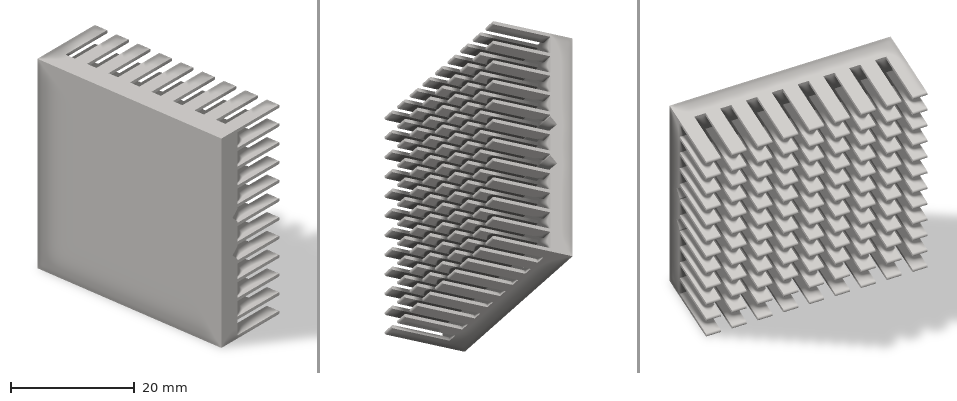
import cadquery as cq
width = 39.25
height = 39.25
depth = 14.5
base_thickness = 4.0
fin_length = depth - base_thickness

fin_count = 12
tip_radius = 0.3
fin_thickness = 2 * tip_radius
fin_pitch = (height - fin_thickness) / (fin_count - 1)

cross_cut_count = 8
cross_cut_width = 2.0
finger_width = (width - cross_cut_count * cross_cut_width) / (cross_cut_count + 1)
cross_cut_pitch = finger_width + cross_cut_width

groove_channels = (4, 6)
groove_depth = 1.2
groove_half_width = groove_depth


def fin_bottom(index):
    """Height of the underside of a fin, counted from the lowest one."""
    return -height / 2 + index * fin_pitch


def add_fin(outline, index):
    """Run out along a fin's underside and round its tip."""
    bottom = fin_bottom(index)
    top = bottom + fin_thickness
    return (
        outline.lineTo(depth - tip_radius, bottom)
        .threePointArc((depth, bottom + tip_radius), (depth - tip_radius, top))
    )


def add_channel(outline, index):
    """Step down to the channel floor and follow it to the root of the next fin."""
    low = fin_bottom(index) + fin_thickness
    high = fin_bottom(index + 1)
    middle = (low + high) / 2

    outline = outline.lineTo(base_thickness, low)
    if index in groove_channels:
        outline = (
            outline.lineTo(base_thickness, middle - groove_half_width)
            .lineTo(base_thickness - groove_depth, middle)
            .lineTo(base_thickness, middle + groove_half_width)
        )
    return outline.lineTo(base_thickness, high)


def make_finned_block():
    """Base and full-width fins, extruded along X."""
    outline = cq.Workplane("YZ", origin=(-width / 2, 0, 0)).moveTo(0, -height / 2)
    for index in range(fin_count):
        outline = add_fin(outline, index)
        if index < fin_count - 1:
            outline = add_channel(outline, index)
    return outline.lineTo(0, height / 2).close().extrude(width)


def make_cross_cut(index):
    """Slot through all fins, level with the channel floors."""
    left_x = -width / 2 + finger_width + index * cross_cut_pitch
    return cq.Workplane("XY", origin=(left_x, base_thickness, 0)).box(
        cross_cut_width, fin_length, height, centered=(False, False, True)
    )


result = make_finned_block()
for cut_index in range(cross_cut_count):
    result = result.cut(make_cross_cut(cut_index))